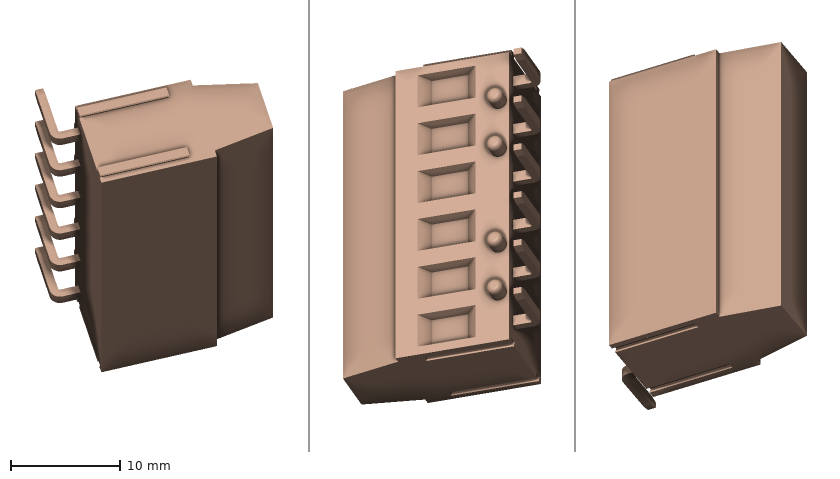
import cadquery as cq

pole_count = 6
overall_height = 30.55
rail_height = 0.55
height = overall_height - rail_height
pitch = height / pole_count

body_width = 8.92
body_depth = 16.78
shoulder_y = 10.97
crown_base_left = 0.67
crown_base_right = 8.22
crown_top_left = 2.02
crown_top_right = 7.2

rail_centers = (1.07, 8.0)
rail_length = 8.5
rail_width = 1.1
rail_neck_width = 0.65
rail_neck_height = 0.15
rail_chamfer = 0.1

entry_y_min = 3.27
entry_y_max = 8.85
entry_height = 3.33
entry_floor_y_min = 4.28
entry_floor_y_max = 7.75
entry_floor_height = 2.63
entry_depth = 0.83

peg_gaps = (1, 2, 4, 5)
peg_diameter = 1.53
peg_length = 1.62
peg_round = 0.45
peg_y = 0.98

pin_width = 1.0
pin_thickness = 0.8
pin_reach_x = 4.2
pin_reach_y = 2.65
pin_back_x = 1.83
pin_bend_radius = 0.98
pin_bend_inner_radius = pin_bend_radius - pin_thickness
pin_tip_length = 0.85
pin_tip_width = 0.6


def housing():
    outline = [
        (0, 0),
        (body_width, 0),
        (body_width, shoulder_y),
        (crown_base_right, shoulder_y),
        (crown_top_right, body_depth),
        (crown_top_left, body_depth),
        (crown_base_left, shoulder_y),
        (0, shoulder_y),
    ]
    return cq.Workplane("XY").polyline(outline).close().extrude(height)


def rail(center_x, base_z):
    """Dovetail bar running back from the front face: neck, flare and chamfered top."""
    half_neck = rail_neck_width / 2
    half_width = rail_width / 2
    half_top = half_width - rail_chamfer
    flare_z = base_z + rail_neck_height
    top_z = base_z + rail_height
    profile = [
        (center_x - half_neck, base_z),
        (center_x - half_neck, flare_z),
        (center_x - half_width, top_z - rail_chamfer),
        (center_x - half_top, top_z),
        (center_x + half_top, top_z),
        (center_x + half_width, top_z - rail_chamfer),
        (center_x + half_neck, flare_z),
        (center_x + half_neck, base_z),
    ]
    return cq.Workplane("XZ").polyline(profile).close().extrude(-rail_length)


def wire_entry(center_z):
    """Rectangular funnel that narrows from the -X face to a flat floor."""
    mouth_center_y = (entry_y_min + entry_y_max) / 2
    floor_center_y = (entry_floor_y_min + entry_floor_y_max) / 2
    return (
        cq.Workplane("YZ")
        .center(mouth_center_y, center_z)
        .rect(entry_y_max - entry_y_min, entry_height)
        .workplane(offset=entry_depth)
        .center(floor_center_y - mouth_center_y, 0)
        .rect(entry_floor_y_max - entry_floor_y_min, entry_floor_height)
        .loft()
    )


def peg(center_z):
    return (
        cq.Workplane("YZ")
        .center(peg_y, center_z)
        .circle(peg_diameter / 2)
        .extrude(-peg_length)
        .faces("<X")
        .edges()
        .fillet(peg_round)
    )


def pin(center_z):
    """L-shaped pin: out of the front face, then bent toward -X, with a tapered tip."""
    inner_x = pin_back_x - pin_thickness
    inner_y = -pin_reach_y + pin_thickness
    profile = [
        (pin_back_x, 0),
        (pin_back_x, -pin_reach_y),
        (-pin_reach_x, -pin_reach_y),
        (-pin_reach_x, inner_y),
        (inner_x, inner_y),
        (inner_x, 0),
    ]
    bar = (
        cq.Workplane("XY", origin=(0, 0, center_z - pin_width / 2))
        .polyline(profile)
        .close()
        .extrude(pin_width)
    )
    bar = bar.edges("|Z and >X and <Y").fillet(pin_bend_radius)
    inner_corner = cq.selectors.NearestToPointSelector((inner_x, inner_y, center_z))
    bar = bar.edges(inner_corner).fillet(pin_bend_inner_radius)
    return bar.intersect(pin_side_outline(center_z))


def pin_side_outline(center_z):
    """Straight strip across the pin width whose -X end tapers evenly from both sides."""
    half_width = pin_width / 2
    half_tip = pin_tip_width / 2
    taper_start_x = -pin_reach_x + pin_tip_length
    outline = [
        (pin_back_x, center_z - half_width),
        (pin_back_x, center_z + half_width),
        (taper_start_x, center_z + half_width),
        (-pin_reach_x, center_z + half_tip),
        (-pin_reach_x, center_z - half_tip),
        (taper_start_x, center_z - half_width),
    ]
    return cq.Workplane("XZ").polyline(outline).close().extrude(pin_reach_y)


result = housing()
for x in rail_centers:
    result = result.union(rail(x, height)).cut(rail(x, 0))

for pole in range(pole_count):
    pole_z = (pole + 0.5) * pitch
    result = result.cut(wire_entry(pole_z)).union(pin(pole_z))

for gap in peg_gaps:
    result = result.union(peg(gap * pitch))